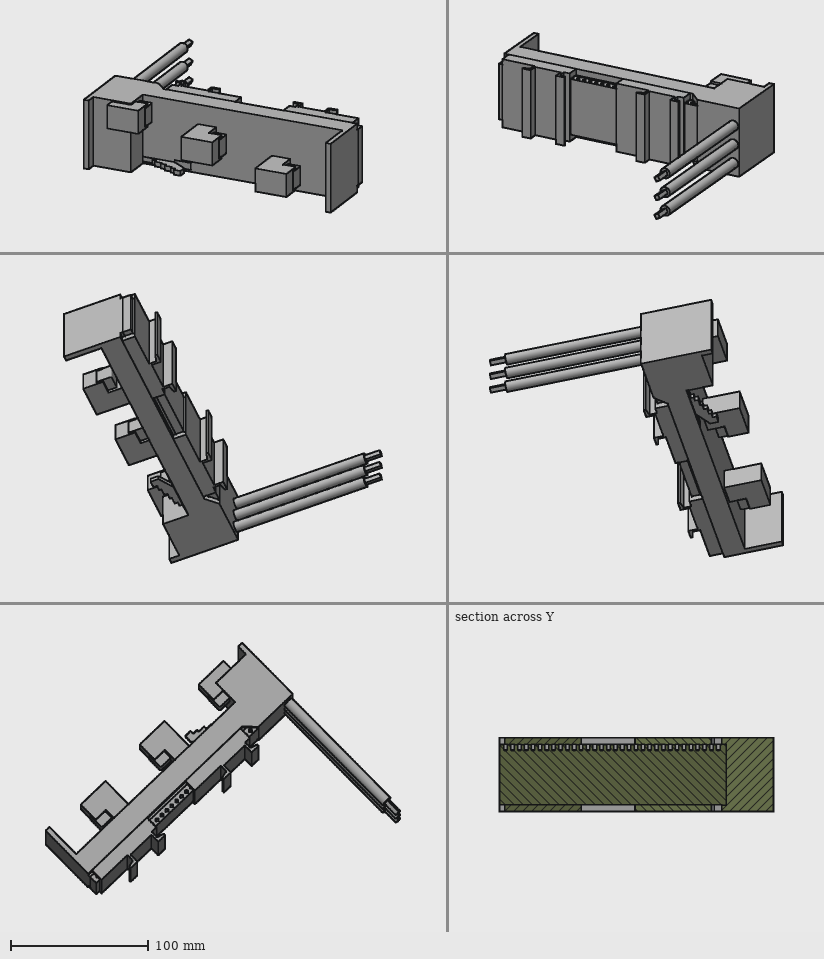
import cadquery as cq
LENGTH = 200.0
HEIGHT = 54.0
REACH = 168.0

END_WALL = 4.0
WALL_FRONT = 28.0
REAR_STEP = 44.5
HOUSING_BACK = 53.0
TERMINAL_FRONT = 8.0
TERMINAL_END = 34.5
STEP_DEPTH = 5.0
STEP_START = 34.8

HOOK_COUNT = 3
HOOK_PITCH = 60.0
HOOK_RISE = 14.5
HOOK_START = 19.0
HOOK_BASE = 6.0
HOOK_WIDTH = 25.2
HOOK_HEIGHT = 18.2
HOOK_LEG = 14.8
HOOK_ARM = 15.5
PAD_INSET = 1.8
PAD_GAP = 0.8
PAD_OVERHANG = 0.5
PAD_FRONT = 10.5
PAD_BACK = 22.5
PAD_ROUNDING = 1.2

STRIP_FRONT = 46.5
HOLE_DIAMETER = 2.5
HOLE_DEPTH = 4.0
HOLE_TIP = 0.7
HOLE_FIRST = 40.5
HOLE_PITCH = 5.0
HOLE_COUNT = 32
HOLE_Y = 50.2

RAIL_STARTS = (45.2, 140.2)
RAIL_LENGTH = 56.0
RAIL_AXIS = 17.2
CARRIER_BACK = 54.5
WEB_BACK = 56.0
RAIL_BACK = 63.2
FLANGE_INNER = 10.5
FLANGE_OUTER = 12.5
LIP_REACH = 17.5
LIP_EDGE = 1.5
LIP_ROOT = 3.0

LEVER_BOTTOM = 1.5
LEVER_THICKNESS = 3.8
ROOT_DEPTH = 4.0
ROOT_START = 60.0
ROOT_END = 73.2
ROOT_THICKNESS = 5.5

WIRE_COUNT = 3
WIRE_PITCH = 14.8
WIRE_X = 4.8
WIRE_LOWEST = 10.0
SHEATH_DIAMETER = 8.0
CORE_DIAGONAL = 5.0
CORE_TURN = 18.0
CORE_LENGTH = 12.0


def box(x_range, y_range, z_range):
    """Box between two limits along each axis."""
    size = [high - low for low, high in (x_range, y_range, z_range)]
    corner = (x_range[0], y_range[0], z_range[0])
    return cq.Workplane("XY").box(*size, centered=False).translate(corner)


def prism(outline, bottom, top):
    """Closed XY outline extruded between two heights."""
    return cq.Workplane("XY").workplane(offset=bottom).polyline(outline).close().extrude(top - bottom)


def make_hook(index):
    """L-shaped hook with a rounded pad on the inside of its arm."""
    left = HOOK_START + index * HOOK_PITCH
    right = left + HOOK_WIDTH
    inner = left + HOOK_LEG
    bottom = HOOK_BASE + (HOOK_COUNT - 1 - index) * HOOK_RISE
    top = bottom + HOOK_HEIGHT
    outline = [
        (left, 0),
        (right, 0),
        (right, HOOK_ARM),
        (inner, HOOK_ARM),
        (inner, WALL_FRONT),
        (left, WALL_FRONT),
    ]
    pad = box(
        (inner + PAD_GAP, right + PAD_OVERHANG),
        (PAD_FRONT, PAD_BACK),
        (bottom + PAD_INSET, top - PAD_INSET),
    )
    pad = pad.edges(">X and >Y").fillet(PAD_ROUNDING)
    return prism(outline, bottom, top).union(pad)


def make_strip_blank():
    """Strip without its holes, also the shape of its channel."""
    return box((STEP_START, LENGTH), (STRIP_FRONT, HOUSING_BACK), (STEP_DEPTH, HEIGHT - STEP_DEPTH))


def make_housing(strip_blank, lever):
    """Long wall, thick terminal end, end walls and hooks, with seats for strip and lever."""
    outline = [
        (0, 0),
        (END_WALL, 0),
        (END_WALL, TERMINAL_FRONT),
        (TERMINAL_END, TERMINAL_FRONT),
        (TERMINAL_END, WALL_FRONT),
        (LENGTH - END_WALL, WALL_FRONT),
        (LENGTH - END_WALL, 0),
        (LENGTH, 0),
        (LENGTH, HOUSING_BACK),
        (0, HOUSING_BACK),
    ]
    body = prism(outline, 0, HEIGHT)
    step_outline = [
        (STEP_START, HOUSING_BACK),
        (STEP_START + HOUSING_BACK - REAR_STEP, REAR_STEP),
        (LENGTH, REAR_STEP),
        (LENGTH, HOUSING_BACK),
    ]
    body = body.cut(prism(step_outline, 0, STEP_DEPTH))
    body = body.cut(prism(step_outline, HEIGHT - STEP_DEPTH, HEIGHT))
    for index in range(HOOK_COUNT):
        body = body.union(make_hook(index))
    return body.cut(strip_blank).cut(lever)


def make_strip(strip_blank):
    """Strip with a row of blind, cone-bottomed holes in its upper face."""
    radius = HOLE_DIAMETER / 2
    top = HEIGHT - STEP_DEPTH
    drill = (
        cq.Workplane("XZ")
        .polyline([(0, 0), (radius, 0), (radius, -HOLE_DEPTH), (0, -HOLE_DEPTH - HOLE_TIP)])
        .close()
        .revolve(360, (0, 0, 0), (0, 1, 0))
    )
    strip = strip_blank
    for index in range(HOLE_COUNT):
        strip = strip.cut(drill.translate((HOLE_FIRST + index * HOLE_PITCH, HOLE_Y, top)))
    return strip


def make_rail(start):
    """Carrier clasping the rear of the housing, with a lipped mounting rail."""
    axis = start + RAIL_AXIS
    outline = [
        (start, REAR_STEP),
        (start + RAIL_LENGTH, REAR_STEP),
        (start + RAIL_LENGTH, CARRIER_BACK),
        (axis + FLANGE_OUTER, CARRIER_BACK),
        (axis + FLANGE_OUTER, RAIL_BACK - LIP_ROOT),
        (axis + LIP_REACH, RAIL_BACK - LIP_EDGE),
        (axis + LIP_REACH, RAIL_BACK),
        (axis + FLANGE_INNER, RAIL_BACK),
        (axis + FLANGE_INNER, WEB_BACK),
        (axis - FLANGE_INNER, WEB_BACK),
        (axis - FLANGE_INNER, RAIL_BACK),
        (axis - LIP_REACH, RAIL_BACK),
        (axis - LIP_REACH, RAIL_BACK - LIP_EDGE),
        (axis - FLANGE_OUTER, RAIL_BACK - LIP_ROOT),
        (axis - FLANGE_OUTER, CARRIER_BACK),
        (start, CARRIER_BACK),
    ]
    clasped = box(
        (start, start + RAIL_LENGTH),
        (REAR_STEP, HOUSING_BACK),
        (STEP_DEPTH, HEIGHT - STEP_DEPTH),
    )
    return prism(outline, 0, HEIGHT).cut(clasped)


def make_lever():
    """Flat lever with a stepped grip edge and a raised root set flush in the wall."""
    root_back = WALL_FRONT + ROOT_DEPTH
    outline = [
        (TERMINAL_END, root_back),
        (TERMINAL_END, WALL_FRONT),
        (43.5, 27.2),
        (43.5, 25.0),
        (46.8, 25.0),
        (46.8, 22.5),
        (52.2, 22.5),
        (52.2, 21.0),
        (56.8, 21.0),
        (56.8, 18.5),
        (62.2, 18.5),
        (62.2, 16.8),
        (66.2, 16.8),
        (66.2, 14.0),
        (71.5, 14.0),
        (71.5, 20.2),
        (ROOT_START, WALL_FRONT),
        (ROOT_START, root_back),
    ]
    blade = prism(outline, LEVER_BOTTOM, LEVER_BOTTOM + LEVER_THICKNESS)
    root = box(
        (ROOT_START, ROOT_END),
        (WALL_FRONT, root_back),
        (LEVER_BOTTOM, LEVER_BOTTOM + ROOT_THICKNESS),
    )
    return blade.union(root)


def make_wire(index):
    """Round sheath with a bare square core at its free end."""
    z = WIRE_LOWEST + index * WIRE_PITCH
    sheath_end = REACH - CORE_LENGTH
    start = cq.Workplane("XZ", origin=(WIRE_X, HOUSING_BACK, z))
    sheath = start.circle(SHEATH_DIAMETER / 2).extrude(HOUSING_BACK - sheath_end)
    end = cq.Workplane("XZ", origin=(WIRE_X, sheath_end, z))
    core = end.transformed(rotate=(0, 0, CORE_TURN)).polygon(4, CORE_DIAGONAL).extrude(-CORE_LENGTH)
    return sheath.union(core)


strip_blank = make_strip_blank()
strip = make_strip(strip_blank)
lever = make_lever()
housing = make_housing(strip_blank, lever)
rails = [make_rail(start) for start in RAIL_STARTS]
wires = [make_wire(index) for index in range(WIRE_COUNT)]

result = cq.Compound.makeCompound(
    [
        housing.val(),
        strip.val(),
        lever.val(),
        *[rail.val() for rail in rails],
        *[wire.val() for wire in wires],
    ]
)